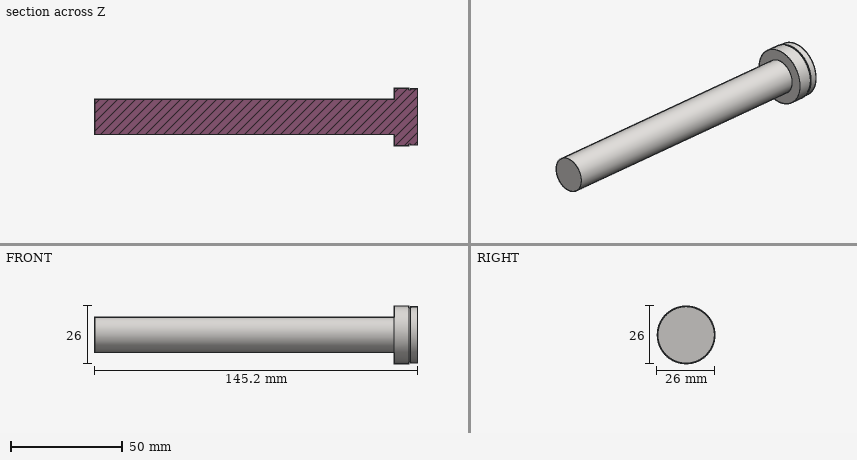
import cadquery as cq

total_length = 145.2
shank_diameter = 16.0
collar_diameter = 26.0
collar_length = 6.6
groove_diameter = 24.4
groove_width = 0.8
end_disc_diameter = 25.4
end_disc_length = 3.2

collar_start = total_length - end_disc_length - groove_width - collar_length
groove_start = collar_start + collar_length
end_disc_start = groove_start + groove_width

sections = [
    (shank_diameter, collar_start),
    (collar_diameter, groove_start),
    (groove_diameter, end_disc_start),
    (end_disc_diameter, total_length),
]


def turned_body(steps):
    """Revolve a stepped half profile about the X axis."""
    profile = cq.Workplane("XZ")
    for diameter, end_position in steps:
        profile = profile.vLineTo(diameter / 2).hLineTo(end_position)
    profile = profile.vLineTo(0).close()
    return profile.revolve(360, (0, 0, 0), (1, 0, 0))


result = turned_body(sections)